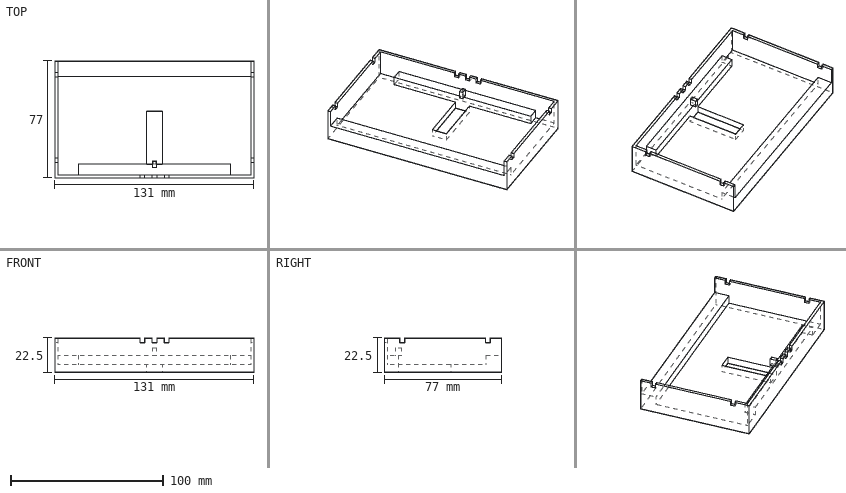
import cadquery as cq

LENGTH = 131.0
WIDTH = 77.0
HEIGHT = 22.5
WALL = 2.0
FLOOR = 5.0

STEP_DEPTH = 10.1
STEP_TOP = 10.9

SHELF_LENGTH = 100.0
SHELF_REACH = 9.3
SHELF_TOP = STEP_TOP

CATCH_WIDTH = 2.4
CATCH_DEPTH = 4.0
CATCH_OVERHANG = 2.0
CATCH_HEIGHT = 5.1

OPENING_WIDTH = 10.2
OPENING_END = 43.9

NOTCH = 3.0
FRONT_NOTCH_PITCH = 8.0
SIDE_NOTCH_FROM_FRONT = 10.2
SIDE_NOTCH_FROM_REAR = 7.5

FRONT = -WIDTH / 2
REAR = WIDTH / 2
SHELF_EDGE = FRONT + SHELF_REACH


def block(length, y_start, y_end, z_start, z_end, x_center=0.0):
    """Box given by its X length and centre and its Y and Z limits."""
    return (
        cq.Workplane("XY")
        .box(length, y_end - y_start, z_end - z_start, centered=(True, False, False))
        .translate((x_center, y_start, z_start))
    )


def tray():
    """Floor with a front wall and two side walls, open at the rear."""
    outer = block(LENGTH, FRONT, REAR, 0, HEIGHT)
    cavity = block(LENGTH - 2 * WALL, FRONT + WALL, REAR, FLOOR, HEIGHT)
    return outer.cut(cavity)


def rear_step():
    return block(LENGTH - 2 * WALL, REAR - STEP_DEPTH, REAR, FLOOR, STEP_TOP)


def shelf():
    return block(SHELF_LENGTH, FRONT + WALL, SHELF_EDGE, FLOOR, SHELF_TOP)


def catch():
    inner_end = SHELF_EDGE + CATCH_OVERHANG
    return block(CATCH_WIDTH, inner_end - CATCH_DEPTH, inner_end, SHELF_TOP, SHELF_TOP + CATCH_HEIGHT)


def floor_opening():
    return block(OPENING_WIDTH, SHELF_EDGE, FRONT + OPENING_END, 0, FLOOR)


def cut_notches(body):
    notch_floor = HEIGHT - NOTCH
    for step in (-1, 0, 1):
        x_center = step * FRONT_NOTCH_PITCH
        body = body.cut(block(NOTCH, FRONT, FRONT + WALL, notch_floor, HEIGHT, x_center))
    for y_start in (FRONT + SIDE_NOTCH_FROM_FRONT, REAR - SIDE_NOTCH_FROM_REAR - NOTCH):
        body = body.cut(block(LENGTH, y_start, y_start + NOTCH, notch_floor, HEIGHT))
    return body


body = tray().union(rear_step()).union(shelf()).union(catch())
result = cut_notches(body.cut(floor_opening()))